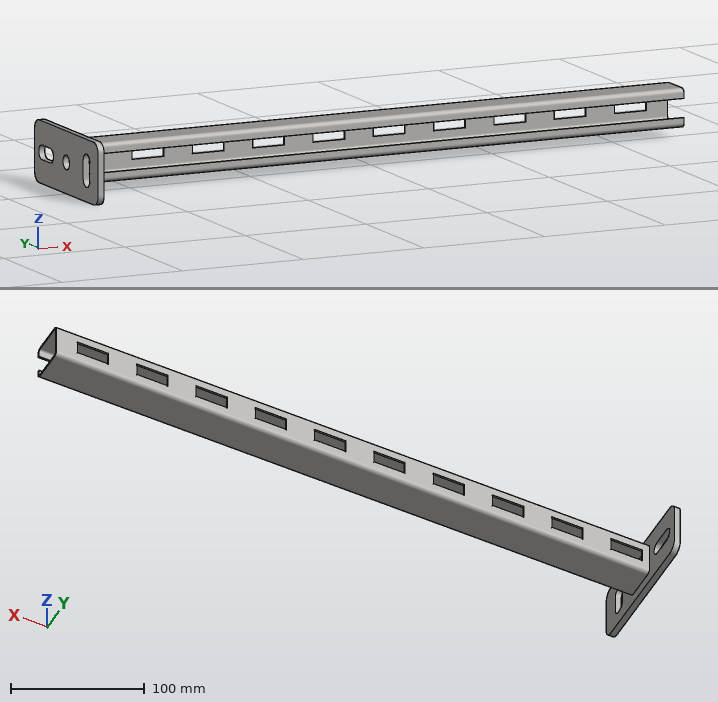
import cadquery as cq

TOTAL_LENGTH = 505.0
PLATE_THICKNESS = 5.0
PLATE_WIDTH = 110.0
PLATE_HEIGHT = 48.0
PLATE_CORNER_RADIUS = 8.0
BOLT_SIZE = 11.0
BOLT_SLOT_LENGTH = 25.0
BOLT_SLOT_OFFSET = 35.0

RAIL_SIZE = 30.0
RAIL_LENGTH = TOTAL_LENGTH - PLATE_THICKNESS
WALL = 1.5
BEND_RADIUS = 3.5
MOUTH_HEIGHT = 14.5
OPENING_DEPTH = BEND_RADIUS

WINDOW_COUNT = 10
WINDOW_PITCH = 50.0
WINDOW_LENGTH = 26.5
WINDOW_HEIGHT = 11.0
WINDOW_SETBACK = 19.0


def make_plate():
    plate = (
        cq.Workplane("YZ")
        .rect(PLATE_WIDTH, PLATE_HEIGHT)
        .extrude(PLATE_THICKNESS)
        .edges("|X")
        .fillet(PLATE_CORNER_RADIUS)
    )
    openings = (
        cq.Workplane("YZ")
        .circle(BOLT_SIZE / 2)
        .pushPoints([(BOLT_SLOT_OFFSET, 0)])
        .slot2D(BOLT_SLOT_LENGTH, BOLT_SIZE)
        .pushPoints([(-BOLT_SLOT_OFFSET, 0)])
        .slot2D(BOLT_SLOT_LENGTH, BOLT_SIZE, 90)
        .extrude(PLATE_THICKNESS)
    )
    return plate.cut(openings)


def rounded_bar(size, radius):
    return (
        cq.Workplane("YZ", origin=(PLATE_THICKNESS, 0, 0))
        .rect(size, size)
        .extrude(RAIL_LENGTH)
        .edges("|X")
        .fillet(radius)
    )


def make_rail():
    tube = rounded_bar(RAIL_SIZE, BEND_RADIUS).cut(
        rounded_bar(RAIL_SIZE - 2 * WALL, BEND_RADIUS - WALL)
    )
    mouth = (
        cq.Workplane("YZ", origin=(PLATE_THICKNESS, -RAIL_SIZE / 2, 0))
        .rect(2 * OPENING_DEPTH, MOUTH_HEIGHT)
        .extrude(RAIL_LENGTH)
    )
    return tube.cut(mouth)


def make_windows():
    centers = [
        (PLATE_THICKNESS + WINDOW_SETBACK + i * WINDOW_PITCH, RAIL_SIZE / 2, 0)
        for i in range(WINDOW_COUNT)
    ]
    return (
        cq.Workplane("XY")
        .pushPoints(centers)
        .box(WINDOW_LENGTH, 2 * OPENING_DEPTH, WINDOW_HEIGHT)
    )


result = make_plate().union(make_rail().cut(make_windows()))